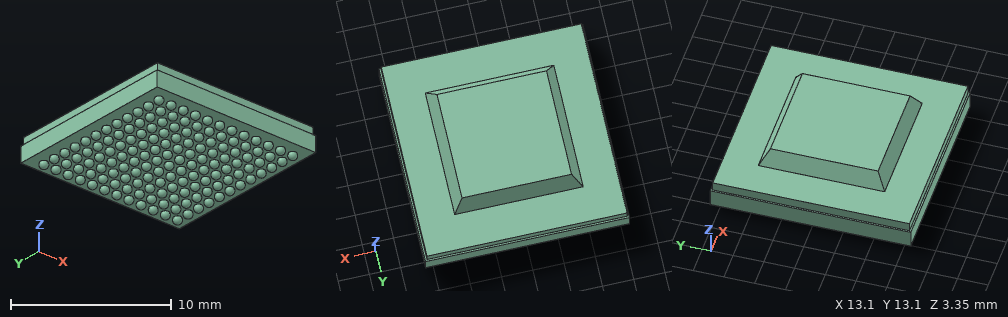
import cadquery as cq
import math

substrate_side = 13.05
substrate_height = 1.21

plate_inset = 0.12
plate_side = substrate_side - 2 * plate_inset
plate_height = 0.61

cap_base_side = 8.22
cap_height = 1.06
cap_wall_lean = 30.0
cap_top_side = cap_base_side - 2 * cap_height * math.tan(math.radians(cap_wall_lean))

balls_per_side = 12
ball_grid_span = 11.0
ball_pitch = ball_grid_span / (balls_per_side - 1)
ball_radius = 0.31
ball_drop = 0.47
ball_center_z = ball_radius - ball_drop


def square_plate(side, height, base_z):
    return cq.Workplane("XY", origin=(0, 0, base_z)).rect(side, side).extrude(height)


def raised_cap(base_z):
    return (
        cq.Workplane("XY", origin=(0, 0, base_z))
        .rect(cap_base_side, cap_base_side)
        .workplane(offset=cap_height)
        .rect(cap_top_side, cap_top_side)
        .loft(ruled=True)
    )


def solder_balls():
    return (
        cq.Workplane("XY", origin=(0, 0, ball_center_z))
        .rarray(ball_pitch, ball_pitch, balls_per_side, balls_per_side)
        .sphere(ball_radius, combine=False)
    )


substrate = square_plate(substrate_side, substrate_height, 0)
plate = square_plate(plate_side, plate_height, substrate_height)
cap = raised_cap(substrate_height + plate_height)

result = substrate.union(plate).union(cap).union(solder_balls())